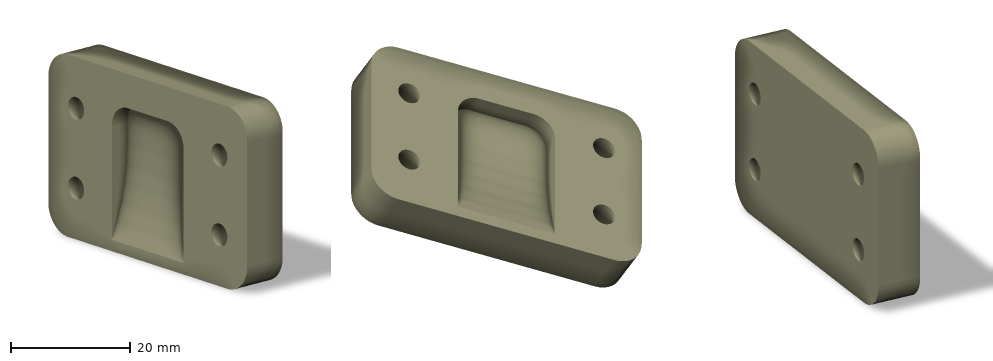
import cadquery as cq
import math

plate_length = 50.0
plate_thickness = 8.0
plate_height = 32.0
corner_radius = 5.0

hole_diameter = 4.0
hole_spacing_x = 36.0
hole_spacing_z = 14.0

pocket_width = 18.0
pocket_depth = 3.5
pocket_top = 10.0
pocket_bottom = -14.0
pocket_corner_radius = 4.0
ramp_start = 2.0

front_y = -plate_thickness / 2


def make_plate():
    """Rounded plate with four through holes."""
    return (
        cq.Workplane("XZ")
        .rect(plate_length, plate_height)
        .extrude(plate_thickness / 2, both=True)
        .edges("|Y")
        .fillet(corner_radius)
        .faces("<Y")
        .workplane(origin=(0, front_y, 0))
        .rarray(hole_spacing_x, hole_spacing_z, 2, 2)
        .hole(hole_diameter)
    )


def make_pocket():
    """Pocket volume whose ramp is an arc tangent to the flat floor."""
    floor_y = front_y + pocket_depth
    ramp_height = ramp_start - pocket_bottom
    ramp_radius = (ramp_height**2 + pocket_depth**2) / (2 * pocket_depth)
    half_angle = math.asin(ramp_height / ramp_radius) / 2
    ramp_middle = (
        floor_y - ramp_radius * (1 - math.cos(half_angle)),
        ramp_start - ramp_radius * math.sin(half_angle),
    )
    return (
        cq.Workplane("YZ")
        .moveTo(front_y, pocket_top)
        .lineTo(floor_y, pocket_top)
        .lineTo(floor_y, ramp_start)
        .threePointArc(ramp_middle, (front_y, pocket_bottom))
        .close()
        .extrude(pocket_width / 2, both=True)
        .edges("|Y and >Z")
        .fillet(pocket_corner_radius)
    )


result = make_plate().cut(make_pocket())